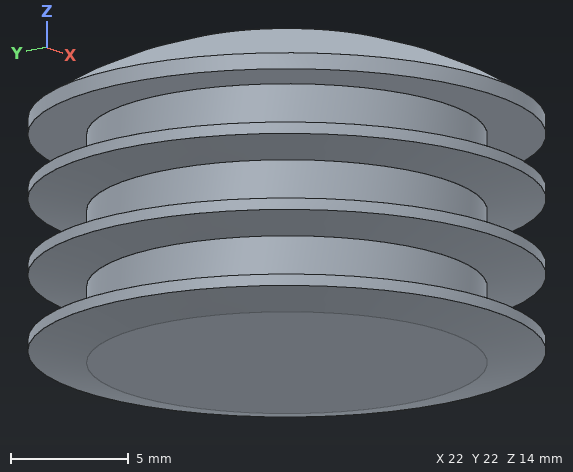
import cadquery as cq
import math

outer_diameter = 22.0
core_diameter = 17.0
total_height = 14.0
cap_underside_z = 10.0
dome_radius = 20.0
fin_count = 3
fin_taper_height = 0.5
fin_rim_height = 0.5

outer_radius = outer_diameter / 2
core_radius = core_diameter / 2
fin_pitch = cap_underside_z / fin_count
dome_height = dome_radius - math.sqrt(dome_radius**2 - outer_radius**2)
dome_base_z = total_height - dome_height


def make_core():
    """Central cylinder that carries the fins, from the base up to the cap."""
    return cq.Workplane("XY").circle(core_radius).extrude(cap_underside_z)


def make_fin(base_z):
    """Sealing fin: conical underside, short cylindrical rim and flat top."""
    rim_z = base_z + fin_taper_height
    top_z = rim_z + fin_rim_height
    profile = (
        cq.Workplane("XZ")
        .moveTo(0, base_z)
        .lineTo(core_radius, base_z)
        .lineTo(outer_radius, rim_z)
        .lineTo(outer_radius, top_z)
        .lineTo(0, top_z)
        .close()
    )
    return profile.revolve(360, (0, 0, 0), (0, 1, 0))


def make_cap():
    """Domed cap: cylindrical rim below a spherical top."""
    half_angle = math.asin(outer_radius / dome_radius) / 2
    dome_center_z = total_height - dome_radius
    dome_mid_point = (
        dome_radius * math.sin(half_angle),
        dome_center_z + dome_radius * math.cos(half_angle),
    )
    profile = (
        cq.Workplane("XZ")
        .moveTo(0, cap_underside_z)
        .lineTo(outer_radius, cap_underside_z)
        .lineTo(outer_radius, dome_base_z)
        .threePointArc(dome_mid_point, (0, total_height))
        .close()
    )
    return profile.revolve(360, (0, 0, 0), (0, 1, 0))


plug = make_core().union(make_cap())
for fin_index in range(fin_count):
    plug = plug.union(make_fin(fin_index * fin_pitch))

result = plug